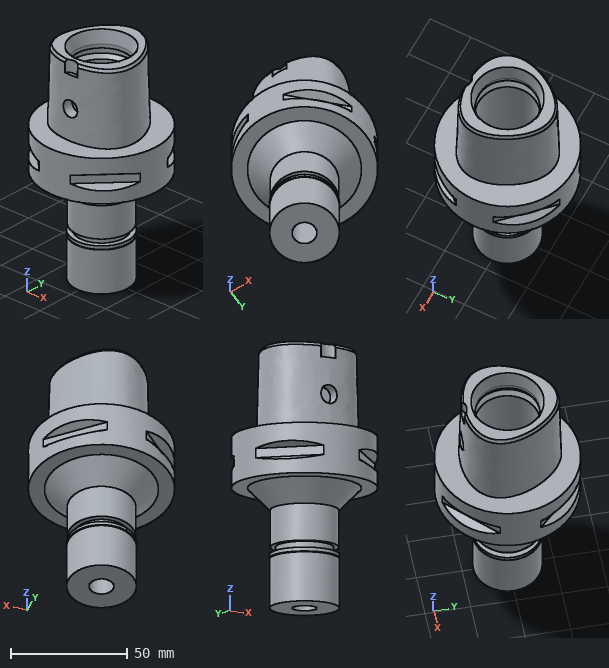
import cadquery as cq
import math

TOTAL_HEIGHT = 113.0
NUT_TOP = 23.6
NECK_BOTTOM = 26.8
NECK_TOP = 43.0
FLANGE_BOTTOM = 52.9
FLANGE_TOP = 75.0

FLANGE_RADIUS = 31.5
CONE_TOP_RADIUS = 24.5
NECK_RADIUS = 14.8
STUB_RADIUS = 12.5

LOBE_RADIUS = 22.0
LOBE_ECCENTRICITY = 1.4
TAPER_PER_HEIGHT = 0.025
RIM_CHAMFER_HEIGHT = 1.5
RIM_CHAMFER_WIDTH = 0.9
OUTLINE_POINTS = 48

MOUTH_RADIUS = 15.7
BORE_RADIUS = 14.0
MOUTH_DEPTH = 6.3
GROOVE_START_DEPTH = 8.4
GROOVE_END_DEPTH = 13.8
GROOVE_CUT = 1.9
LOWER_BORE_RADIUS = 9.2

NOTCH_WIDTH = 7.3
NOTCH_DEPTH = 6.2
NOTCH_RADIUS = 5.1
NOTCH_BACK = 17.9

SIDE_HOLE_RADIUS = 4.1
SIDE_HOLE_HEIGHT = 90.5
SIDE_HOLE_FLOOR = 14.6

SLOT_COUNT = 4
SLOT_FIRST_ANGLE = 45.0
SLOT_HEIGHT = 63.2
SLOT_FLOOR_DISTANCE = 27.7
SLOT_FLOOR_WIDTH = 4.1
SLOT_MOUTH_WIDTH = 8.0

NUT_RADIUS = 15.0
COLLAR_RADIUS = 15.1
COLLAR_BOTTOM = 21.9
COLLAR_CHAMFER = 0.3
NUT_HOLE_RADIUS = 5.3


def revolve_profile(points):
    """Revolve a closed outline of (radius, height) points about the Z axis."""
    return cq.Workplane("XZ").polyline(points).close().revolve(360, (0, 0, 0), (0, 1, 0))


def lobed_wire(radius, height):
    """Closed three-lobed curve with one lobe toward +Y."""
    points = []
    for step in range(OUTLINE_POINTS):
        angle = math.pi + 2 * math.pi * step / OUTLINE_POINTS
        x = radius * math.sin(angle) - LOBE_ECCENTRICITY * math.sin(2 * angle)
        y = radius * math.cos(angle) + LOBE_ECCENTRICITY * math.cos(2 * angle)
        points.append(cq.Vector(x, y, height))
    return cq.Wire.assembleEdges([cq.Edge.makeSpline(points, periodic=True)])


def make_shank():
    """Tapered lobed shank with a chamfered rim."""
    chamfer_start = TOTAL_HEIGHT - RIM_CHAMFER_HEIGHT
    upper_radius = LOBE_RADIUS - TAPER_PER_HEIGHT * (chamfer_start - FLANGE_TOP)
    base = lobed_wire(LOBE_RADIUS, FLANGE_TOP)
    shoulder = lobed_wire(upper_radius, chamfer_start)
    rim = lobed_wire(upper_radius - RIM_CHAMFER_WIDTH, TOTAL_HEIGHT)
    taper = cq.Workplane(cq.Solid.makeLoft([base, shoulder], True))
    return taper.union(cq.Workplane(cq.Solid.makeLoft([shoulder, rim], True)))


def make_lower_holder():
    """Flange, cone, neck and the narrower stub that meets the nut."""
    return revolve_profile([
        (0, NUT_TOP),
        (STUB_RADIUS, NUT_TOP),
        (STUB_RADIUS, NECK_BOTTOM),
        (NECK_RADIUS, NECK_BOTTOM),
        (NECK_RADIUS, NECK_TOP),
        (CONE_TOP_RADIUS, FLANGE_BOTTOM),
        (FLANGE_RADIUS, FLANGE_BOTTOM),
        (FLANGE_RADIUS, FLANGE_TOP),
        (0, FLANGE_TOP),
    ])


def make_bore():
    """Tapered mouth, undercut groove, main bore and narrower lower bore."""
    groove_radius = BORE_RADIUS + GROOVE_CUT
    groove_start = TOTAL_HEIGHT - GROOVE_START_DEPTH
    groove_end = TOTAL_HEIGHT - GROOVE_END_DEPTH
    return revolve_profile([
        (0, NUT_TOP),
        (LOWER_BORE_RADIUS, NUT_TOP),
        (LOWER_BORE_RADIUS, FLANGE_BOTTOM),
        (BORE_RADIUS, FLANGE_BOTTOM),
        (BORE_RADIUS, groove_end),
        (groove_radius, groove_end + GROOVE_CUT),
        (groove_radius, groove_start),
        (BORE_RADIUS, groove_start),
        (BORE_RADIUS, TOTAL_HEIGHT - MOUTH_DEPTH),
        (MOUTH_RADIUS, TOTAL_HEIGHT),
        (0, TOTAL_HEIGHT),
    ])


def make_notch():
    """Round-backed notch with parallel sides, open through the -Y side of the rim."""
    floor = TOTAL_HEIGHT - NOTCH_DEPTH
    half_width = NOTCH_WIDTH / 2
    center_distance = NOTCH_BACK + NOTCH_RADIUS
    side_distance = center_distance - math.sqrt(NOTCH_RADIUS**2 - half_width**2)
    return (
        cq.Workplane("XY", origin=(0, 0, floor))
        .moveTo(-half_width, -FLANGE_RADIUS)
        .lineTo(-half_width, -side_distance)
        .threePointArc((0, -NOTCH_BACK), (half_width, -side_distance))
        .lineTo(half_width, -FLANGE_RADIUS)
        .close()
        .extrude(NOTCH_DEPTH)
    )


def make_side_hole():
    """Flat-ended radial hole entering from the -Y side above the flange."""
    return (
        cq.Workplane("XZ", origin=(0, -SIDE_HOLE_FLOOR, SIDE_HOLE_HEIGHT))
        .circle(SIDE_HOLE_RADIUS)
        .extrude(FLANGE_RADIUS - SIDE_HOLE_FLOOR)
    )


def make_gripper_slot(angle):
    """Straight slot with sloped sides, cut across the flange at the given angle."""
    depth = FLANGE_RADIUS - SLOT_FLOOR_DISTANCE
    half_floor = SLOT_FLOOR_WIDTH / 2
    half_mouth = SLOT_MOUTH_WIDTH / 2
    return (
        cq.Workplane("XZ", origin=(SLOT_FLOOR_DISTANCE, 0, SLOT_HEIGHT))
        .polyline([(0, -half_floor), (depth, -half_mouth), (depth, half_mouth), (0, half_floor)])
        .close()
        .extrude(FLANGE_RADIUS, both=True)
        .rotate((0, 0, 0), (0, 0, 1), angle)
    )


def make_holder():
    """Tool holder: lobed shank, slotted flange and stepped neck in one body."""
    body = make_lower_holder().union(make_shank())
    body = body.cut(make_bore()).cut(make_notch()).cut(make_side_hole())
    for index in range(SLOT_COUNT):
        body = body.cut(make_gripper_slot(SLOT_FIRST_ANGLE + index * 360 / SLOT_COUNT))
    return body


def make_nut():
    """Nut with a slightly larger collar at its top and a through hole."""
    return revolve_profile([
        (NUT_HOLE_RADIUS, 0),
        (NUT_RADIUS, 0),
        (NUT_RADIUS, COLLAR_BOTTOM - COLLAR_CHAMFER),
        (COLLAR_RADIUS, COLLAR_BOTTOM),
        (COLLAR_RADIUS, NUT_TOP),
        (NUT_HOLE_RADIUS, NUT_TOP),
    ])


holder = make_holder()
nut = make_nut()

result = cq.Compound.makeCompound([holder.solids().val(), nut.val()])